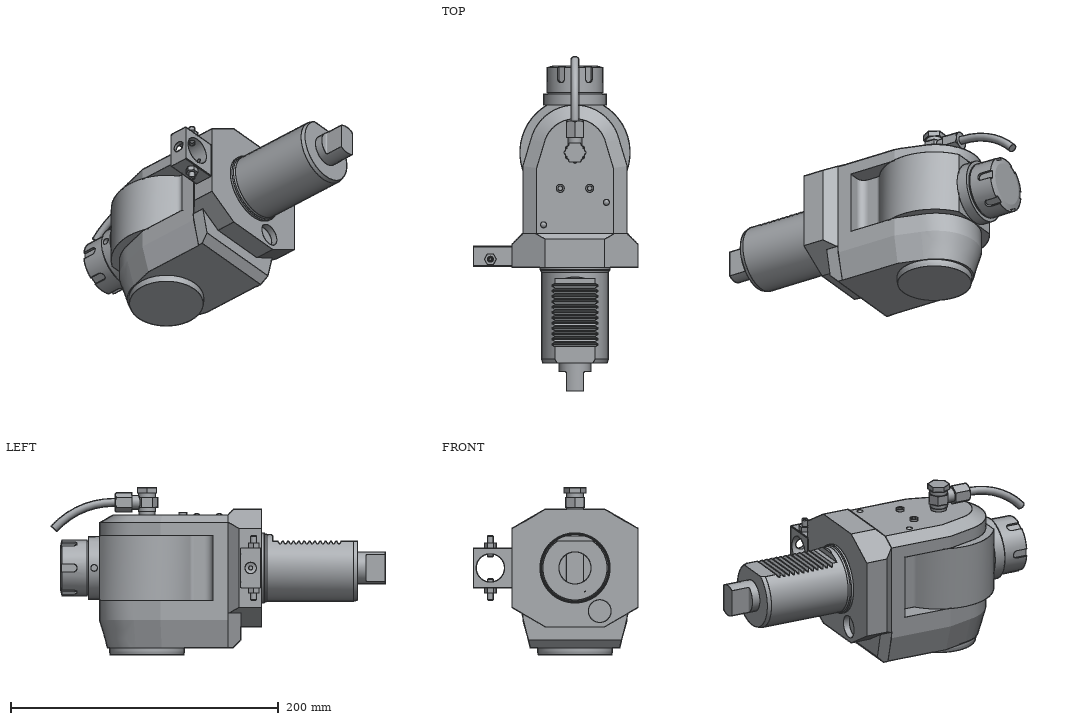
import cadquery as cq
import math


CUT_CLEARANCE = 2.5

FLANGE_HALF_X = 47.2
FLANGE_HALF_Z = 44.0
FLANGE_FLAT_X = 22.2
FLANGE_FLAT_Z = 29.5
FLANGE_END_Y = 25.2

HOUSING_HALF_X = 39.0
HOUSING_TOP_Z = 39.7
HOUSING_BEVEL_STEP = 0.5
HOUSING_TAPER_Z = -39.2
HOUSING_BOTTOM_Z = -59.7
HOUSING_TAPER = 16.0
SIDE_END_Y = 75.5
NOSE_END_Y = 121.0
NOSE_RADIUS = 34.0
NOSE_ARC_X = 33.0

LOWER_FRONT_Y = 15.5
LOWER_TOP_Z = -33.7
LOWER_TOP_HALF_X = 39.7
LOWER_BOTTOM_HALF_X = 33.5
LOWER_BEVEL = 6.0

HEAD_Y = 85.6
HEAD_RADIUS = 41.2
HEAD_HALF_Z = 24.2
POCKET_START_Y = 36.5
POCKET_FLOOR_X = 24.2
POCKET_END_FILLET = 6.0
POCKET_HEAD_FILLET = 3.7
CAP_RADIUS = 28.0
CAP_RIM_RADIUS = 27.5
CAP_RIM_Z = -62.5
CAP_BOTTOM_Z = -65.0

COLLAR_RADIUS = 26.2
COLLAR_LENGTH = 2.5
COLLAR_CHAMFER = 0.7
COLLAR_NECK_LENGTH = 1.5
SHANK_RADIUS = 25.0
SHANK_END_Y = -71.7
SHANK_BEVEL_LENGTH = 3.0
SHANK_BEVEL_DEPTH = 1.0
RACK_Z = 20.0
RACK_START_Y = -8.2
RACK_WALL_BEVEL = 1.0
TOOTH_COUNT = 12
TOOTH_PITCH = 4.0
TOOTH_DEPTH = 2.0
GROOVE_TOP_WIDTH = 3.2
GROOVE_ROOT_WIDTH = 0.7
FIRST_GROOVE_Y = -13.7
TANG_RADIUS = 12.0
TANG_HALF_X = 6.5
TANG_ROOT_FILLET = 1.0
TANG_SHOULDER_Y = -78.0
TANG_END_Y = -92.5
PORT_X, PORT_Z = 18.5, -32.2
PORT_RADIUS = 8.5
PORT_DEPTH = 5.0

RING_RADIUS = 23.5
RING_END_Y = 129.3
NUT_RADIUS = 21.0
NUT_NECK_RADIUS = 20.2
NUT_START_Y = 130.3
NUT_SHOULDER_Y = 149.0
NUT_END_Y = 150.3
NUT_FACE_RADIUS = 16.0
NUT_SLOT_COUNT = 6
NUT_SLOT_WIDTH = 6.0
NUT_SLOT_DEPTH = 2.0
NUT_SLOT_END_Y = 137.8
RING_HOLE_Y = 125.0
RING_HOLE_RADIUS = 2.5
RING_HOLE_DEPTH = 5.0

BLOCK_END_X = -76.0
BLOCK_FRONT_Y = 0.7
BLOCK_BACK_Y = 15.7
BLOCK_MIDDLE_Y = (BLOCK_FRONT_Y + BLOCK_BACK_Y) / 2
BLOCK_HALF_Z = 15.0
BLOCK_CHAMFER = 0.5
BORE_X = -63.2
BORE_RADIUS = 10.5
SIDE_HOLE_RADIUS = 4.2
DUCT_RADIUS = 1.5
DUCT_DEPTH = 7.5
STUD_Y = 6.0
STUD_RADIUS = 2.2
STUD_CHAMFER = 0.7
STUD_INNER_Z = 8.0
STUD_OUTER_Z = 24.2
STUD_SOCKET_RADIUS = 1.0
STUD_SOCKET_DEPTH = 2.5
STUD_NUT_ACROSS = 9.0
STUD_NUT_Z = 18.7

FITTING_NECK_RADIUS = 6.5
FITTING_FOOT_RADIUS = 6.0
FITTING_FOOT_Z = 42.0
FITTING_HEX_ACROSS = 16.2
FITTING_HEX_Z = 45.2
FITTING_HEX_TOP_Z = 52.7
FITTING_HEAD_ACROSS = 16.5
FITTING_HEAD_Z = 56.0
FITTING_TOP_Z = 60.0
BRANCH_Z = 49.0
BRANCH_RADIUS = 5.2
HOSE_NUT_Y = 96.9
HOSE_NUT_END_Y = 109.4
HOSE_NUT_ACROSS = 14.7
HOSE_NUT_CHAMFER = 1.0
HOSE_RADIUS = 3.0
HOSE_END_Y = 157.3
HOSE_BEND_RADIUS = 60.0
HOSE_START_Y = 110.5

SCREW_X, SCREW_Y = 11.0, 59.0
SCREW_RADIUS = 3.0
SCREW_HEIGHT = 1.7
SCREW_SOCKET_RADIUS = 1.7
SCREW_SOCKET_DEPTH = 1.5
PIN_PLACES = [(23.5, 48.5), (-23.5, 31.7)]
PIN_RADIUS = 2.2
PIN_HEIGHT = 1.0


def box(x0, x1, y0, y1, z0, z1):
    """Box between opposite corners."""
    return cq.Workplane("XY").box(x1 - x0, y1 - y0, z1 - z0, centered=False).translate((x0, y0, z0))


def rod(radius, y0, y1, x=0, z=0):
    """Round bar along Y."""
    return cq.Workplane("XZ", origin=(x, y0, z)).circle(radius).extrude(y0 - y1)


def post(radius, z0, z1, x=0, y=0):
    """Round bar along Z."""
    return cq.Workplane("XY", origin=(x, y, z0)).circle(radius).extrude(z1 - z0)


def hex_post(across_corners, z0, z1, x=0, y=0, turn=0):
    """Hexagonal bar along Z, with corners on X before it is turned."""
    bar = cq.Workplane("XY").polygon(6, across_corners).extrude(z1 - z0)
    return bar.rotate((0, 0, 0), (0, 0, 1), turn).translate((x, y, z0))


def turned(profile):
    """Solid turned about the Y axis from (radius, y) points."""
    outline = [(0, profile[0][1])] + profile + [(0, profile[-1][1])]
    return cq.Workplane("XY").polyline(outline).close().revolve(360, (0, 0), (0, 1))


def make_flange():
    fx, fz = FLANGE_FLAT_X, FLANGE_FLAT_Z
    hx, hz = FLANGE_HALF_X, FLANGE_HALF_Z
    octagon = [(fx, hz), (hx, fz), (hx, -fz), (fx, -hz), (-fx, -hz), (-hx, -fz), (-hx, fz), (-fx, hz)]
    plate = cq.Workplane("XZ").polyline(octagon).close().extrude(-FLANGE_END_Y)

    side_bevel = hx - HOUSING_HALF_X
    side_y = FLANGE_END_Y - side_bevel
    plan = [(-hx, 0), (hx, 0), (hx, side_y), (HOUSING_HALF_X, FLANGE_END_Y),
            (-HOUSING_HALF_X, FLANGE_END_Y), (-hx, side_y)]
    plate = plate.intersect(cq.Workplane("XY").polyline(plan).close().extrude(hz, both=True))

    top_y = FLANGE_END_Y - (hz - HOUSING_TOP_Z)
    side = [(0, -hz), (0, hz), (top_y, hz), (FLANGE_END_Y, HOUSING_TOP_Z), (FLANGE_END_Y, -hz)]
    return plate.intersect(cq.Workplane("YZ").polyline(side).close().extrude(hx, both=True))


def housing_outline(z):
    """Plan outline of the housing, running on into the flange."""
    arc_y = NOSE_END_Y - NOSE_RADIUS + math.sqrt(NOSE_RADIUS**2 - NOSE_ARC_X**2)
    return (
        cq.Workplane("XY", origin=(0, 0, z))
        .moveTo(-HOUSING_HALF_X, 0)
        .lineTo(HOUSING_HALF_X, 0)
        .lineTo(HOUSING_HALF_X, SIDE_END_Y)
        .lineTo(NOSE_ARC_X, arc_y)
        .threePointArc((0, NOSE_END_Y), (-NOSE_ARC_X, arc_y))
        .lineTo(-HOUSING_HALF_X, SIDE_END_Y)
        .close()
    )


def make_housing():
    slope = (FLANGE_HALF_Z - FLANGE_FLAT_Z) / (FLANGE_HALF_X - FLANGE_FLAT_X)
    bevel_z = FLANGE_FLAT_Z + slope * (FLANGE_HALF_X - HOUSING_HALF_X) - HOUSING_BEVEL_STEP
    bevel_angle = 90 - math.degrees(math.atan(slope))

    body = housing_outline(HOUSING_TAPER_Z).extrude(bevel_z - HOUSING_TAPER_Z)
    body = body.union(housing_outline(bevel_z).extrude(HOUSING_TOP_Z - bevel_z, taper=bevel_angle))
    drop = HOUSING_BOTTOM_Z - HOUSING_TAPER_Z
    body = body.union(housing_outline(HOUSING_TAPER_Z).extrude(drop, taper=HOUSING_TAPER))
    keep = box(-HOUSING_HALF_X, HOUSING_HALF_X, FLANGE_END_Y, NOSE_END_Y, HOUSING_BOTTOM_Z, HOUSING_TOP_Z)
    return body.intersect(keep)


def make_lower_block():
    section = [(-LOWER_TOP_HALF_X, LOWER_TOP_Z), (LOWER_TOP_HALF_X, LOWER_TOP_Z),
               (LOWER_BOTTOM_HALF_X, HOUSING_BOTTOM_Z), (-LOWER_BOTTOM_HALF_X, HOUSING_BOTTOM_Z)]
    block = (
        cq.Workplane("XZ", origin=(0, LOWER_FRONT_Y, 0))
        .polyline(section).close()
        .extrude(LOWER_FRONT_Y - FLANGE_END_Y)
    )
    return block.faces("<Y").edges("<Z").chamfer(LOWER_BEVEL)


def make_head():
    head = post(HEAD_RADIUS, -HEAD_HALF_Z, HEAD_HALF_Z, y=HEAD_Y)
    return head.intersect(box(-HEAD_RADIUS, HEAD_RADIUS, 0, NOSE_END_Y, -HEAD_HALF_Z, HEAD_HALF_Z))


def make_pocket(side):
    """Recess in one housing side that clears the round head."""
    outer_x = HEAD_RADIUS + CUT_CLEARANCE
    pocket = box(POCKET_FLOOR_X, outer_x, POCKET_START_Y, HEAD_Y, -HEAD_HALF_Z, HEAD_HALF_Z)
    pocket = pocket.edges("|Z and <X and <Y").fillet(POCKET_END_FILLET)
    pocket = pocket.cut(post(HEAD_RADIUS, -HEAD_HALF_Z, HEAD_HALF_Z, y=HEAD_Y))
    pocket = pocket.faces("<X").edges(">Y").fillet(POCKET_HEAD_FILLET)
    return pocket if side > 0 else pocket.mirror("YZ")


def make_bottom_cap():
    cap = post(CAP_RADIUS, CAP_RIM_Z, HOUSING_BOTTOM_Z, y=HEAD_Y)
    rim = (
        cq.Workplane("XY", origin=(0, HEAD_Y, CAP_RIM_Z)).circle(CAP_RADIUS)
        .workplane(offset=CAP_BOTTOM_Z - CAP_RIM_Z).circle(CAP_RIM_RADIUS)
        .loft()
    )
    return cap.union(rim)


def make_shank():
    shank = turned([
        (COLLAR_RADIUS, 0),
        (COLLAR_RADIUS, COLLAR_CHAMFER - COLLAR_LENGTH),
        (COLLAR_RADIUS - COLLAR_CHAMFER, -COLLAR_LENGTH),
        (SHANK_RADIUS, -COLLAR_LENGTH - COLLAR_NECK_LENGTH),
        (SHANK_RADIUS, SHANK_END_Y + SHANK_BEVEL_LENGTH),
        (SHANK_RADIUS - SHANK_BEVEL_DEPTH, SHANK_END_Y),
    ])
    above = SHANK_RADIUS + CUT_CLEARANCE
    rack = [(SHANK_END_Y, RACK_Z), (SHANK_END_Y, above), (RACK_START_Y + RACK_WALL_BEVEL, above),
            (RACK_START_Y + RACK_WALL_BEVEL, SHANK_RADIUS),
            (RACK_START_Y, SHANK_RADIUS - RACK_WALL_BEVEL), (RACK_START_Y, RACK_Z)]
    shank = shank.cut(cq.Workplane("YZ").polyline(rack).close().extrude(SHANK_RADIUS, both=True))

    top, root = GROOVE_TOP_WIDTH / 2, GROOVE_ROOT_WIDTH / 2
    root_z = RACK_Z - TOOTH_DEPTH
    for index in range(TOOTH_COUNT):
        y = FIRST_GROOVE_Y - index * TOOTH_PITCH
        groove = [(y - top, RACK_Z), (y + top, RACK_Z), (y + root, root_z), (y - root, root_z)]
        shank = shank.cut(cq.Workplane("YZ").polyline(groove).close().extrude(SHANK_RADIUS, both=True))

    tang = rod(TANG_RADIUS, TANG_END_Y, SHANK_END_Y)
    for side in (-1, 1):
        x0, x1 = sorted((side * TANG_HALF_X, side * TANG_RADIUS))
        flat = box(x0, x1, TANG_END_Y, TANG_SHOULDER_Y, -TANG_RADIUS, TANG_RADIUS)
        root_edge = flat.faces(">Y").edges("<X" if side > 0 else ">X")
        tang = tang.cut(root_edge.fillet(TANG_ROOT_FILLET))
    return shank.union(tang)


def make_collet_nut():
    nut = turned([
        (RING_RADIUS, NOSE_END_Y),
        (RING_RADIUS, RING_END_Y),
        (NUT_NECK_RADIUS, RING_END_Y),
        (NUT_NECK_RADIUS, NUT_START_Y),
        (NUT_RADIUS, NUT_START_Y),
        (NUT_RADIUS, NUT_SHOULDER_Y),
        (NUT_FACE_RADIUS, NUT_END_Y),
    ])
    floor = NUT_RADIUS - NUT_SLOT_DEPTH
    above = NUT_RADIUS + CUT_CLEARANCE
    round_y = NUT_SLOT_END_Y + NUT_SLOT_WIDTH / 2
    slot = post(NUT_SLOT_WIDTH / 2, floor, above, y=round_y)
    slot = slot.union(box(-NUT_SLOT_WIDTH / 2, NUT_SLOT_WIDTH / 2, round_y, NUT_END_Y, floor, above))
    step = 360 / NUT_SLOT_COUNT
    for index in range(NUT_SLOT_COUNT):
        nut = nut.cut(slot.rotate((0, 0, 0), (0, 1, 0), (index + 0.5) * step))

    hole = cq.Workplane("YZ", origin=(-RING_RADIUS, RING_HOLE_Y, 0)).circle(RING_HOLE_RADIUS)
    return nut.cut(hole.extrude(RING_HOLE_DEPTH))


def make_coolant_block():
    block = box(BLOCK_END_X, -FLANGE_HALF_X, BLOCK_FRONT_Y, BLOCK_BACK_Y, -BLOCK_HALF_Z, BLOCK_HALF_Z)
    block = block.edges("|X").chamfer(BLOCK_CHAMFER)
    block = block.cut(rod(BORE_RADIUS, BLOCK_FRONT_Y, BLOCK_BACK_Y, x=BORE_X))
    side_hole = cq.Workplane("YZ", origin=(BLOCK_END_X, BLOCK_MIDDLE_Y, 0)).circle(SIDE_HOLE_RADIUS)
    block = block.cut(side_hole.extrude(BORE_X - BLOCK_END_X))

    stud = post(STUD_RADIUS, STUD_INNER_Z, STUD_OUTER_Z, BORE_X, STUD_Y)
    stud = stud.faces("<Z or >Z").chamfer(STUD_CHAMFER)
    stud = stud.union(hex_post(STUD_NUT_ACROSS, BLOCK_HALF_Z, STUD_NUT_Z, BORE_X, STUD_Y))
    socket_z = STUD_OUTER_Z - STUD_SOCKET_DEPTH
    stud = stud.cut(post(STUD_SOCKET_RADIUS, socket_z, STUD_OUTER_Z, BORE_X, STUD_Y))
    return block.union(stud).union(stud.mirror("XY"))


def make_duct():
    """Small cross duct from the coolant bore into the flange."""
    duct = cq.Workplane("YZ", origin=(BORE_X, BLOCK_MIDDLE_Y, 0)).circle(DUCT_RADIUS)
    return duct.extrude(DUCT_DEPTH - FLANGE_HALF_X - BORE_X)


def make_fitting():
    fitting = post(FITTING_FOOT_RADIUS, HOUSING_TOP_Z, FITTING_FOOT_Z, y=HEAD_Y)
    fitting = fitting.union(post(FITTING_NECK_RADIUS, FITTING_FOOT_Z, FITTING_HEAD_Z, y=HEAD_Y))
    fitting = fitting.union(
        hex_post(FITTING_HEX_ACROSS, FITTING_HEX_Z, FITTING_HEX_TOP_Z, y=HEAD_Y, turn=30)
    )
    fitting = fitting.union(hex_post(FITTING_HEAD_ACROSS, FITTING_HEAD_Z, FITTING_TOP_Z, y=HEAD_Y))
    fitting = fitting.union(rod(BRANCH_RADIUS, HEAD_Y, HOSE_NUT_Y, z=BRANCH_Z))

    length = HOSE_NUT_END_Y - HOSE_NUT_Y
    nut = hex_post(HOSE_NUT_ACROSS, 0, length, turn=30)
    corner = HOSE_NUT_ACROSS / 2
    envelope = post(corner, 0, length).faces(">Z").chamfer(HOSE_NUT_CHAMFER)
    nut = nut.intersect(envelope).rotate((0, 0, 0), (1, 0, 0), -90).translate((0, HOSE_NUT_Y, BRANCH_Z))
    return fitting.union(nut)


def make_hose():
    """Hose that bends down until the edge of its end face reaches HOSE_END_Y."""
    reach = HOSE_END_Y - HOSE_START_Y
    bend = math.asin(reach / (HOSE_BEND_RADIUS + HOSE_RADIUS))
    centre_z = BRANCH_Z - HOSE_BEND_RADIUS

    def on_bend(angle):
        return (HOSE_START_Y + HOSE_BEND_RADIUS * math.sin(angle),
                centre_z + HOSE_BEND_RADIUS * math.cos(angle))

    path = (
        cq.Workplane("YZ").moveTo(HOSE_NUT_END_Y, BRANCH_Z)
        .lineTo(HOSE_START_Y, BRANCH_Z)
        .threePointArc(on_bend(bend / 2), on_bend(bend))
    )
    start = cq.Workplane("XZ", origin=(0, HOSE_NUT_END_Y, BRANCH_Z)).circle(HOSE_RADIUS)
    return start.sweep(path)


def make_screw(x, y):
    top_z = HOUSING_TOP_Z + SCREW_HEIGHT
    screw = post(SCREW_RADIUS, HOUSING_TOP_Z, top_z, x, y)
    return screw.cut(post(SCREW_SOCKET_RADIUS, top_z - SCREW_SOCKET_DEPTH, top_z, x, y))


def make_pin(x, y):
    """Domed pin head: a ball sunk so that a shallow cap stands out."""
    ball_radius = (PIN_RADIUS**2 + PIN_HEIGHT**2) / (2 * PIN_HEIGHT)
    ball_z = HOUSING_TOP_Z + PIN_HEIGHT - ball_radius
    return cq.Workplane("XY").sphere(ball_radius).translate((x, y, ball_z))


body = make_flange().union(make_housing()).union(make_lower_block())
for side in (-1, 1):
    body = body.cut(make_pocket(side))
body = body.cut(rod(PORT_RADIUS, 0, PORT_DEPTH, PORT_X, PORT_Z))

for piece in (make_head(), make_bottom_cap(), make_shank(), make_collet_nut(),
              make_coolant_block(), make_fitting(), make_hose()):
    body = body.union(piece)
body = body.cut(make_duct())

for side in (-1, 1):
    body = body.union(make_screw(side * SCREW_X, SCREW_Y))
for x, y in PIN_PLACES:
    body = body.union(make_pin(x, y))

result = body